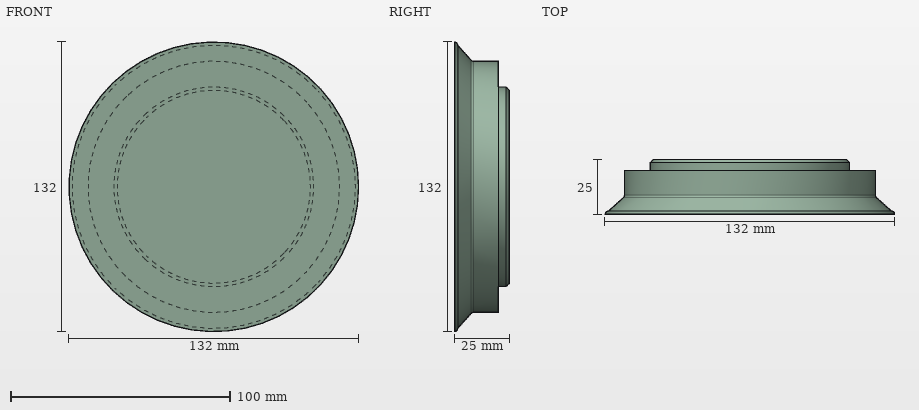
import cadquery as cq
import math

total_depth = 25.0
flange_radius = 132.0 / 2
body_radius = 114.53 / 2
boss_radius = 91.0 / 2
boss_height = 5.0
boss_chamfer = 1.5
rim_radius = 1.5
flare_end = 8.0
blend_radius = 1.5

shoulder = total_depth - boss_height

flare_start_radius = flange_radius - rim_radius
flare_angle = math.atan2(flare_start_radius - body_radius, flare_end - rim_radius)

blend_end = flare_end + blend_radius * math.tan(flare_angle / 2)


def rim_point(angle):
    """Point on the rim arc: angle 0 is the front edge, a right angle is the start of the flare."""
    return (
        flare_start_radius + rim_radius * math.cos(angle),
        rim_radius * math.sin(angle),
    )


def blend_point(angle):
    """Point on the blend arc: angle 0 touches the body, flare_angle touches the flare."""
    return (
        body_radius + blend_radius * (1 - math.cos(angle)),
        blend_end - blend_radius * math.sin(angle),
    )


def half_section():
    """Closed half section, with radius along X and depth along Y."""
    return (
        cq.Workplane("XY")
        .lineTo(flange_radius, 0)
        .threePointArc(rim_point(math.pi / 4), (flare_start_radius, rim_radius))
        .lineTo(*blend_point(flare_angle))
        .threePointArc(blend_point(flare_angle / 2), (body_radius, blend_end))
        .lineTo(body_radius, shoulder)
        .lineTo(boss_radius, shoulder)
        .lineTo(boss_radius, total_depth - boss_chamfer)
        .lineTo(boss_radius - boss_chamfer, total_depth)
        .lineTo(0, total_depth)
        .close()
    )


result = half_section().revolve(360, (0, 0, 0), (0, 1, 0))